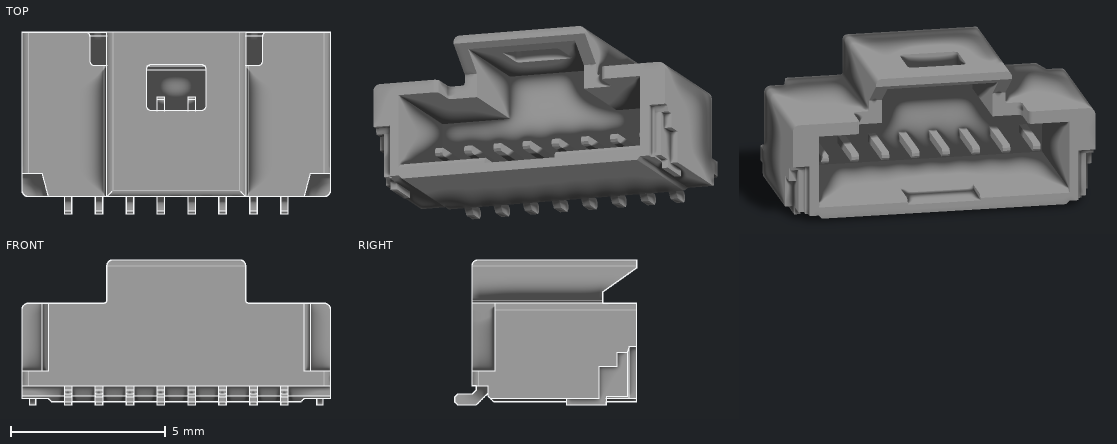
import cadquery as cq

body_width = 10.0
body_depth = 5.33
body_top = 3.3
side_bottom = 0.21
half_width = body_width / 2
edge_radius = 0.22

tower_width = 4.5
tower_depth = 5.34
tower_top = 4.7
tower_radius = 0.2
tower_root_radius = 0.09
tower_wall = 0.42

base_bottom = 0.1
base_half_width = 4.03
base_chamfer = side_bottom - base_bottom
front_undercut_depth = 0.52
front_undercut_top = 0.62
front_chamfer = 0.19

corner_notch_floor = 1.1
corner_notch_depth = 0.75
corner_notch_rear_half_width = 4.34
corner_notch_front_half_width = 4.14

roof_thickness = 0.42
cavity_front = 1.0
cavity_floor = 0.6
cavity_half_width = 4.14
tower_cavity_half_width = tower_width / 2 - tower_wall
floor_bevel = 0.12
floor_relief_half_width = 1.2
floor_relief_front = 4.23
floor_relief_step = 0.2

tower_cut_front = 4.24
tower_cut_low = 3.66
tower_cut_high = 4.44
wing_slot_half_width = 2.79
wing_slot_corner = 0.15

window_width = 1.92
window_front = 2.79
window_back = 4.28
window_radius = 0.15

contact_count = 8
contact_pitch = 1.0
contact_width = 0.25
pin_bottom = 1.3
pin_thickness = 0.26
pin_tip = 3.23
pin_bevel = 0.08
lead_thickness = 0.36
lead_reach = 0.56
lead_tip_bevel = 0.1
lead_bend_front = 0.14
lead_inner_bend = 0.13
lead_outer_bend = front_undercut_depth - lead_bend_front

tab_outer_face = 4.75
tab_thickness = 0.21
tab_inner_face = tab_outer_face - tab_thickness
tab_front = 3.5
tab_back = 5.03
tab_bottom = 0.27
tab_top = 1.7
tab_step_top = 1.24
tab_step_back = 4.7
foot_front = 3.06
foot_back = 4.35
pocket_front = 4.11
pocket_entry_top = 1.89
pocket_entry_front = 5.1
pocket_relief_face = 4.44
pocket_relief_front = 5.08


def box(x_range, y_range, z_range):
    """Box spanning three (low, high) ranges."""
    lows, highs = zip(x_range, y_range, z_range)
    sizes = [high - low for low, high in zip(lows, highs)]
    return cq.Workplane("XY").box(*sizes, centered=False).translate(lows)


def side_profile(points, x_low, x_high):
    """Extrude a closed (y, z) outline from x_low to x_high."""
    return cq.Workplane("YZ").polyline(points).close().extrude(x_high - x_low).translate((x_low, 0, 0))


def both_sides(shape):
    """The shape together with its mirror image across X = 0."""
    return shape.union(shape.mirror("YZ"))


def make_shell():
    """Wide body, raised tower and thin base plate as one solid."""
    body = box((-half_width, half_width), (0, body_depth), (side_bottom, body_top))
    body = body.edges("|Y and >Z").fillet(edge_radius)
    plan = box((-half_width, half_width), (0, body_depth), (side_bottom, body_top))
    body = body.intersect(plan.edges("|Z").edges("<Y").fillet(edge_radius))

    tower = box((-tower_width / 2, tower_width / 2), (0, tower_depth), (cavity_floor, tower_top))
    tower = tower.faces(">Z").edges("|Y or <Y").fillet(tower_radius)

    base_edge = base_half_width + base_chamfer
    base = (
        cq.Workplane("XZ")
        .polyline([
            (-base_half_width, base_bottom),
            (base_half_width, base_bottom),
            (base_edge, side_bottom),
            (-base_edge, side_bottom),
        ])
        .close()
        .extrude(-body_depth)
    )
    return body.union(tower).union(base).union(both_sides(make_tower_root()))


def make_tower_root():
    """Concave fillet strip where the tower side meets the body top."""
    wall = tower_width / 2
    return (
        cq.Workplane("XZ")
        .moveTo(wall, body_top)
        .lineTo(wall + tower_root_radius, body_top)
        .radiusArc((wall, body_top + tower_root_radius), tower_root_radius)
        .close()
        .extrude(-tower_cut_front)
    )


def make_front_undercut():
    """Step below the front ledge, ending in a bevel onto the base plate."""
    bevel_end = front_undercut_depth + front_chamfer
    return side_profile(
        [
            (0, front_undercut_top),
            (front_undercut_depth, front_undercut_top),
            (front_undercut_depth, base_bottom + front_chamfer),
            (bevel_end, base_bottom),
            (bevel_end, 0),
            (0, 0),
        ],
        -half_width,
        half_width,
    )


def make_corner_notches():
    """Slant-walled notches that leave a ledge at each front corner."""
    notch = (
        cq.Workplane("XY")
        .workplane(offset=corner_notch_floor)
        .polyline([
            (half_width, 0),
            (corner_notch_front_half_width, 0),
            (corner_notch_rear_half_width, corner_notch_depth),
            (half_width, corner_notch_depth),
        ])
        .close()
        .extrude(body_top - corner_notch_floor)
    )
    return both_sides(notch)


def make_cavity():
    """Opening for the mating plug, with a bevelled floor edge and a latch relief."""
    low = box(
        (-cavity_half_width, cavity_half_width),
        (cavity_front, tower_depth),
        (cavity_floor, body_top - roof_thickness),
    )
    high = box(
        (-tower_cavity_half_width, tower_cavity_half_width),
        (cavity_front, tower_depth),
        (cavity_floor, tower_top - roof_thickness),
    )
    floor_edge = side_profile(
        [
            (body_depth - floor_bevel, cavity_floor),
            (body_depth, cavity_floor - floor_bevel),
            (tower_depth, cavity_floor - floor_bevel),
            (tower_depth, cavity_floor),
        ],
        -cavity_half_width,
        cavity_half_width,
    )
    relief_floor = cavity_floor - floor_relief_step
    relief = side_profile(
        [
            (floor_relief_front - floor_bevel, cavity_floor),
            (floor_relief_front, cavity_floor - floor_bevel),
            (floor_relief_front, relief_floor),
            (tower_depth, relief_floor),
            (tower_depth, cavity_floor),
        ],
        -floor_relief_half_width,
        floor_relief_half_width,
    )
    return low.union(high).union(floor_edge).union(relief)


def make_tower_back_cut():
    """Sloped cut under the tower roof and the slots beside it in the body top."""
    slot_bottom = body_top - roof_thickness
    slope = side_profile(
        [
            (tower_cut_front, slot_bottom),
            (tower_cut_front, tower_cut_low),
            (tower_depth, tower_cut_high),
            (tower_depth, slot_bottom),
        ],
        -tower_width / 2,
        tower_width / 2,
    )
    x_out = wing_slot_half_width
    slots = (
        cq.Workplane("XY")
        .workplane(offset=slot_bottom)
        .moveTo(-x_out + wing_slot_corner, tower_cut_front)
        .lineTo(x_out - wing_slot_corner, tower_cut_front)
        .radiusArc((x_out, tower_cut_front + wing_slot_corner), -wing_slot_corner)
        .lineTo(x_out, body_depth - wing_slot_corner)
        .radiusArc((x_out + wing_slot_corner, body_depth), wing_slot_corner)
        .lineTo(-x_out - wing_slot_corner, body_depth)
        .radiusArc((-x_out, body_depth - wing_slot_corner), wing_slot_corner)
        .lineTo(-x_out, tower_cut_front + wing_slot_corner)
        .radiusArc((-x_out + wing_slot_corner, tower_cut_front), -wing_slot_corner)
        .close()
        .extrude(roof_thickness)
    )
    return slope.union(slots)


def make_window():
    """Rounded latch window through the tower roof."""
    half_window = window_width / 2
    window = box(
        (-half_window, half_window),
        (window_front, window_back),
        (tower_top - roof_thickness, tower_top),
    )
    return window.edges("|Z").fillet(window_radius)


def make_tab_pockets():
    """Stepped pockets in the outer side walls, open to the back and below."""
    pocket = side_profile(
        [
            (pocket_front, 0),
            (pocket_front, tab_step_top),
            (tab_step_back, tab_step_top),
            (tab_step_back, tab_top),
            (tab_back, tab_top),
            (pocket_entry_front, pocket_entry_top),
            (body_depth, pocket_entry_top),
            (body_depth, 0),
        ],
        tab_inner_face,
        half_width,
    )
    relief = box(
        (pocket_relief_face, tab_inner_face),
        (pocket_relief_front, body_depth),
        (0, pocket_entry_top),
    )
    return both_sides(pocket.union(relief))


def make_solder_tabs():
    """Sheet tabs held in the side walls, each with a foot on the mounting plane."""
    tab = side_profile(
        [
            (foot_front, 0),
            (foot_back, 0),
            (foot_back, tab_bottom),
            (tab_back, tab_bottom),
            (tab_back, tab_top),
            (tab_step_back, tab_top),
            (tab_step_back, tab_step_top),
            (tab_front, tab_step_top),
            (tab_front, side_bottom),
            (foot_front, side_bottom),
        ],
        tab_inner_face,
        tab_outer_face,
    )
    return both_sides(tab)


def make_contact(x_center):
    """One contact: bevelled pin in the cavity and a bent lead at the front."""
    x_low = x_center - contact_width / 2
    x_high = x_center + contact_width / 2
    pin_top = pin_bottom + pin_thickness
    pin = side_profile(
        [
            (cavity_front, pin_bottom),
            (pin_tip - pin_bevel, pin_bottom),
            (pin_tip, pin_bottom + pin_bevel),
            (pin_tip, pin_top - pin_bevel),
            (pin_tip - pin_bevel, pin_top),
            (cavity_front, pin_top),
        ],
        x_low,
        x_high,
    )
    lead = side_profile(
        [
            (front_undercut_depth, front_undercut_top),
            (front_undercut_depth, lead_outer_bend),
            (lead_bend_front, 0),
            (-lead_reach + lead_tip_bevel, 0),
            (-lead_reach, lead_tip_bevel),
            (-lead_reach, lead_thickness - lead_tip_bevel),
            (-lead_reach + lead_tip_bevel, lead_thickness),
            (lead_bend_front - lead_inner_bend, lead_thickness),
            (lead_bend_front, lead_thickness + lead_inner_bend),
            (lead_bend_front, front_undercut_top),
        ],
        x_low,
        x_high,
    )
    return pin.union(lead)


result = make_shell()
for cut in (
    make_front_undercut(),
    make_corner_notches(),
    make_cavity(),
    make_tower_back_cut(),
    make_window(),
    make_tab_pockets(),
):
    result = result.cut(cut)

result = result.union(make_solder_tabs())
first_contact = -contact_pitch * (contact_count - 1) / 2
for index in range(contact_count):
    result = result.union(make_contact(first_contact + index * contact_pitch))